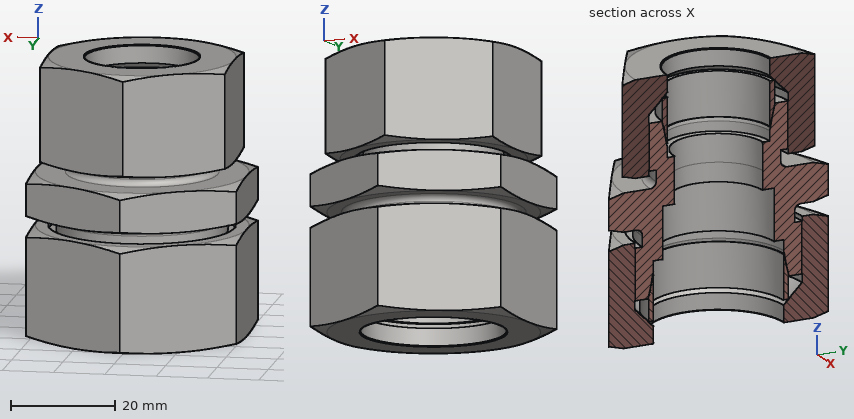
import cadquery as cq
import math


large_nut_height = 21.0
small_nut_height = 20.0
collar_thickness = 8.0
collar_gap = 2.5
collar_bottom = large_nut_height + collar_gap
collar_top = collar_bottom + collar_thickness
total_length = collar_top + collar_gap + small_nut_height

large_hex = 41.0
small_hex = 36.0
hex_chamfer_angle = 15.0

small_tube, large_tube = 22.0, 28.0
small_thread, large_thread = 30.0, 36.0
small_bore, large_bore = 19.0, 24.0
undercut_depth = 1.5
neck_fillet = collar_gap / 2
undercut_length = 3.5

cone_half_angle = 12.0
cone_widening = 2.3
cone_length = cone_widening / 2 / math.tan(math.radians(cone_half_angle))
tube_stop_depth = 7.5

nut_land = 3.6
ring_start = 4.6
body_end_setback = 9.25
ring_tip_setback = 13.9

nut_hole_chamfer = 0.2


def revolve_profile(points):
    """Revolve a closed (radius, z) polygon about the Z axis."""
    return cq.Workplane("XZ").polyline(points).close().revolve(360, (0, 0, 0), (0, 1, 0))


def chamfered_hexagon(across_flats, bottom, height):
    """Hexagonal prism with flats facing +X and -X, its corners turned off at both ends."""
    corner_radius = across_flats / math.sqrt(3)
    flat_radius = across_flats / 2
    drop = (corner_radius - flat_radius) * math.tan(math.radians(hex_chamfer_angle))
    top = bottom + height
    prism = (
        cq.Workplane("XY")
        .workplane(offset=bottom)
        .transformed(rotate=(0, 0, 30))
        .polygon(6, 2 * corner_radius)
        .extrude(height)
    )
    turned = revolve_profile([
        (0, bottom),
        (flat_radius, bottom),
        (corner_radius, bottom + drop),
        (corner_radius, top - drop),
        (flat_radius, top),
        (0, top),
    ])
    return prism.intersect(turned)


def turn_over(shape, height):
    """Turn a shape upside down between Z = 0 and the given height."""
    return shape.mirror("XY").translate((0, 0, height))


def make_nut(across_flats, height, tube, thread):
    """Union nut with its free end at Z = 0 and its thread opening upward."""
    hole_radius = tube / 2
    thread_radius = thread / 2
    seat_end = nut_land + thread_radius - hole_radius
    opening = revolve_profile([
        (0, 0),
        (hole_radius + nut_hole_chamfer, 0),
        (hole_radius, nut_hole_chamfer),
        (hole_radius, nut_land),
        (thread_radius, seat_end),
        (thread_radius, height),
        (0, height),
    ])
    return chamfered_hexagon(across_flats, 0, height).cut(opening)


def cone_radius(tube, setback):
    """Radius of the body's sealing cone at a distance from the nut's free end."""
    depth = setback - body_end_setback
    return (tube + cone_widening) / 2 - depth * math.tan(math.radians(cone_half_angle))


def make_cutting_ring(tube):
    """Cutting ring for a lower nut whose free end is at Z = 0."""
    inner_radius = tube / 2
    shoulder_radius = inner_radius + ring_start - nut_land
    mouth_radius = cone_radius(tube, body_end_setback)
    return revolve_profile([
        (inner_radius, ring_start),
        (shoulder_radius, ring_start),
        (mouth_radius, ring_start + mouth_radius - shoulder_radius),
        (mouth_radius, body_end_setback),
        (cone_radius(tube, ring_tip_setback), ring_tip_setback),
        (inner_radius, ring_tip_setback),
    ])


def make_stub(tube, thread, bore, collar_face):
    """Threaded stub below a collar face, for a lower nut whose free end is at Z = 0."""
    thread_radius = thread / 2
    neck_radius = thread_radius - undercut_depth
    mouth_radius = cone_radius(tube, body_end_setback)
    tube_stop = body_end_setback + tube_stop_depth
    fillet_offset = neck_fillet * (1 - math.sqrt(0.5))
    fillet_middle = (neck_radius + fillet_offset, collar_face - fillet_offset)
    return (
        cq.Workplane("XZ")
        .moveTo(mouth_radius, body_end_setback)
        .lineTo(thread_radius, body_end_setback)
        .lineTo(thread_radius, collar_face - undercut_length)
        .lineTo(neck_radius, collar_face - undercut_length)
        .lineTo(neck_radius, collar_face - neck_fillet)
        .threePointArc(fillet_middle, (neck_radius + neck_fillet, collar_face))
        .lineTo(bore / 2, collar_face)
        .lineTo(bore / 2, tube_stop)
        .lineTo(tube / 2, tube_stop)
        .lineTo(tube / 2, body_end_setback + cone_length)
        .close()
        .revolve(360, (0, 0, 0), (0, 1, 0))
    )


def make_body():
    """Fitting body: hexagon collar with a threaded stub on each side."""
    collar_middle = (collar_bottom + collar_top) / 2
    collar = chamfered_hexagon(large_hex, collar_bottom, collar_thickness)
    small_passage = cq.Workplane("XY").circle(small_bore / 2).extrude(total_length)
    large_passage = cq.Workplane("XY").circle(large_bore / 2).extrude(collar_middle)
    large_stub = make_stub(large_tube, large_thread, large_bore, collar_bottom)
    small_stub = make_stub(small_tube, small_thread, small_bore, total_length - collar_top)
    return (
        collar.cut(small_passage)
        .cut(large_passage)
        .union(large_stub)
        .union(turn_over(small_stub, total_length))
    )


body = make_body()
large_nut = make_nut(large_hex, large_nut_height, large_tube, large_thread)
small_nut = turn_over(make_nut(small_hex, small_nut_height, small_tube, small_thread), total_length)
large_ring = make_cutting_ring(large_tube)
small_ring = turn_over(make_cutting_ring(small_tube), total_length)

result = cq.Compound.makeCompound([
    body.val(),
    large_nut.val(),
    small_nut.val(),
    large_ring.val(),
    small_ring.val(),
])